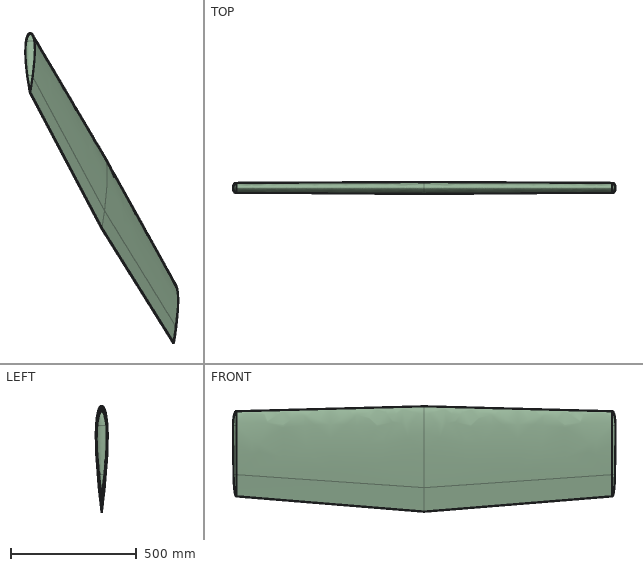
import cadquery as cq
import math

span = 1524.0
cap_bulge = 14.5
cap_hinge_bulge = 12.0
panel_half_span = span / 2 - cap_bulge

root_chord = 420.0
tip_chord = 340.0
root_nose_z = root_chord / 2
tip_nose_drop = 20.0
tip_nose_z = root_nose_z - tip_nose_drop
root_flap = 96.0
tip_flap = 87.0
root_thickness = 49.0
tip_thickness = 41.0
trailing_half = 0.8
cap_nose_fraction = 0.17
nose_end_fraction = 0.001
tail_end_fraction = 0.98
cap_inset = 0.3
profile_steps = 14
cap_steps = 10


def airfoil_half(thickness, fraction):
    """Half thickness of a symmetric four-digit NACA airfoil."""
    shape = (0.2969 * math.sqrt(fraction) - 0.1260 * fraction - 0.3516 * fraction**2
             + 0.2843 * fraction**3 - 0.1015 * fraction**4)
    return 5 * thickness * shape


def wing_section(plane, chord, thickness, nose_z, flap):
    """Airfoil curve ahead of the hinge, straight sides behind it."""
    hinge_fraction = 1 - flap / chord
    side = []
    for i in range(profile_steps + 1):
        fraction = hinge_fraction * (i / profile_steps) ** 2
        side.append((airfoil_half(thickness, fraction), nose_z - chord * fraction))
    other_side = [(-y, z) for y, z in side[1:]]
    curve = other_side[::-1] + side
    tail_z = nose_z - chord
    return (
        plane.moveTo(*curve[0])
        .spline(curve[1:], includeCurrent=True)
        .lineTo(trailing_half, tail_z)
        .lineTo(-trailing_half, tail_z)
        .close()
    )


def make_half_wing():
    root = wing_section(cq.Workplane("YZ"), root_chord, root_thickness, root_nose_z, root_flap)
    tip_plane = root.workplane(offset=panel_half_span)
    return wing_section(tip_plane, tip_chord, tip_thickness, tip_nose_z, tip_flap).loft(ruled=True)


def cap_section(depth, bulge, half):
    """Half ellipse on the tip face at a depth below the leading edge."""
    cap_half = half - cap_inset
    plane = cq.Workplane("XY", origin=(panel_half_span, 0, tip_nose_z - depth))
    outline = plane.moveTo(0, -cap_half).ellipseArc(
        bulge, cap_half, -90, 90, startAtCurrent=True
    ).close()
    return outline.val()


def cap_piece(sections):
    wires = [cap_section(*section) for section in sections]
    return cq.Workplane(cq.Solid.makeLoft(wires))


def make_cap():
    nose_end = cap_nose_fraction * tip_chord
    hinge = tip_chord - tip_flap
    hinge_half = airfoil_half(tip_thickness, hinge / tip_chord)
    nose, middle, tail = [], [], []
    for i in range(cap_steps + 1):
        step = i / cap_steps

        share = max(1 - math.cos(step * math.pi / 2), nose_end_fraction)
        depth = nose_end * share
        bulge = cap_bulge * math.sqrt(1 - (1 - share) ** 2)
        nose.append((depth, bulge, airfoil_half(tip_thickness, depth / tip_chord)))

        depth = nose_end + (hinge - nose_end) * step
        bulge = cap_bulge + (cap_hinge_bulge - cap_bulge) * step**2
        middle.append((depth, bulge, airfoil_half(tip_thickness, depth / tip_chord)))

        share = tail_end_fraction * math.sin(step * math.pi / 2)
        half = hinge_half + (trailing_half - hinge_half) * share
        bulge = cap_hinge_bulge * math.sqrt(1 - share**2)
        tail.append((hinge + tip_flap * share, bulge, half))
    return cap_piece(nose).union(cap_piece(middle)).union(cap_piece(tail))


half_wing = make_half_wing().union(make_cap())
result = half_wing.union(half_wing.mirror("YZ"))